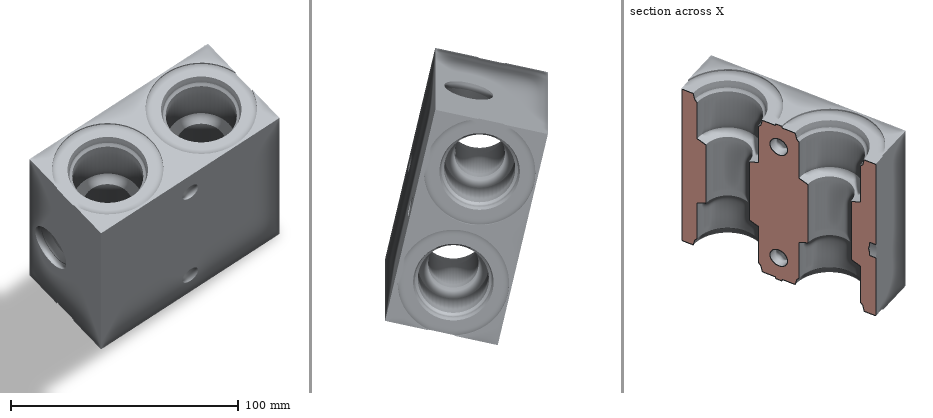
import cadquery as cq
import math

width = 50.8
length = 100.0
height = 88.9

bore_offset = 26.2
bore_diameter = 22.2
spotface_diameter = 49.0
spotface_depth = 0.9
seat_mouth_diameter = 35.4
seat_base_diameter = 33.7
seat_depth = 3.3
thread_diameter = 31.3
thread_depth = 26.0

side_port_x = -10.3
side_port_z = -6.4
side_counterbore_diameter = 21.9
side_counterbore_depth = 3.3
side_seat_mouth_diameter = 20.9
side_seat_base_diameter = 18.5
side_seat_depth = 3.3
side_thread_diameter = 17.1
side_thread_depth = 12.5
side_drill_diameter = 13.6
side_drill_depth = 27.5

mount_diameter = 8.8
mount_offset = 31.8

bore_point_angle = 140.0
side_point_angle = 130.0


def drill_rise(radius_change, point_angle):
    """Axial length over which a drill point changes radius by the given amount."""
    return radius_change / math.tan(math.radians(point_angle / 2))


def revolved_cutter(profile):
    """Solid of revolution about Z; each profile point is (radius, depth below z = 0)."""
    bottom = profile[-1][1]
    outline = [(0, 0)] + [(radius, -depth) for radius, depth in profile]
    if profile[-1][0] > 0:
        outline.append((0, -bottom))
    return cq.Workplane("XZ").polyline(outline).close().revolve(360, (0, 0, 0), (0, 1, 0))


def main_port():
    """Spotface, tapered seal seat, thread bore and drill cone of one port end."""
    spotface_radius = spotface_diameter / 2
    seat_radius = seat_base_diameter / 2
    thread_radius = thread_diameter / 2
    bore_radius = bore_diameter / 2
    seat_end = spotface_depth + seat_depth
    return revolved_cutter([
        (spotface_radius, 0),
        (spotface_radius, spotface_depth),
        (seat_mouth_diameter / 2, spotface_depth),
        (seat_radius, seat_end),
        (thread_radius, seat_end + seat_radius - thread_radius),
        (thread_radius, thread_depth),
        (bore_radius, thread_depth + drill_rise(thread_radius - bore_radius, bore_point_angle)),
    ])


def side_port():
    """Counterbore, tapered seal seat, thread bore and pointed drill hole of the side port."""
    counterbore_radius = side_counterbore_diameter / 2
    seat_radius = side_seat_base_diameter / 2
    thread_radius = side_thread_diameter / 2
    drill_radius = side_drill_diameter / 2
    seat_end = side_counterbore_depth + side_seat_depth
    return revolved_cutter([
        (counterbore_radius, 0),
        (counterbore_radius, side_counterbore_depth),
        (side_seat_mouth_diameter / 2, side_counterbore_depth),
        (seat_radius, seat_end),
        (thread_radius, seat_end + seat_radius - thread_radius),
        (thread_radius, side_thread_depth),
        (drill_radius, side_thread_depth),
        (drill_radius, side_drill_depth),
        (0, side_drill_depth + drill_rise(drill_radius, side_point_angle)),
    ])


result = cq.Workplane("XY").box(width, length, height)

top_port = main_port().translate((0, 0, height / 2))
bottom_port = top_port.mirror("XY")
bore = cq.Workplane("XY").circle(bore_diameter / 2).extrude(height / 2, both=True)
for bore_y in (-bore_offset, bore_offset):
    for cutter in (bore, top_port, bottom_port):
        result = result.cut(cutter.translate((0, bore_y, 0)))

side_cutter = side_port().rotate((0, 0, 0), (1, 0, 0), 90)
result = result.cut(side_cutter.translate((side_port_x, -length / 2, side_port_z)))

mount_holes = (
    cq.Workplane("YZ")
    .pushPoints([(0, -mount_offset), (0, mount_offset)])
    .circle(mount_diameter / 2)
    .extrude(width / 2, both=True)
)
result = result.cut(mount_holes)